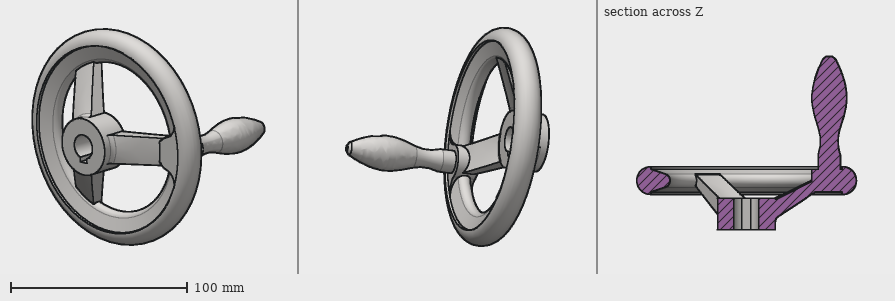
import cadquery as cq
import math


wheel_radius = 62.5
rim_tube_radius = 8.0
rim_tube_center = wheel_radius - rim_tube_radius
step_radius = 54.1
step_depth = 1.5
step_y = rim_tube_radius - step_depth
rim_inner_radius = 43.4
nose_radius = 4.0

hub_radius = 16.5
hub_front = -28.0
hub_length = 18.0
bore_radius = 7.0
key_width = 5
key_bottom = 9.2

spoke_count = 3
spoke_half_width_at_axis = 8.6
spoke_half_width_at_end = 8.0
spoke_end_radius = 45
spoke_front_root = -21.5
spoke_front_end = -2.8
spoke_back_root = -10.4
spoke_back_end = 3.8
spoke_fillet = 3.4

handle_x = 47.0
boss_radius = 10
boss_blend = 8.0
boss_side = 50.2

collar_radius = 6.5
collar_end = 14.2
neck_radius = 5.1
neck_end = 30.5
grip_radius = 10
grip_widest = 45.5
grip_end = 68.9
grip_end_radius = 3.8
grip_end_direction = (-0.5, 1)
tip_end = 70.5
tip_flat_radius = 1.8


def revolve_about_y(profile):
    return profile.close().revolve(360, (0, 0, 0), (0, 1, 0))


def along_hub(sketch):
    """Extrude a sketch drawn on the hub's front face over the hub's length."""
    return sketch.extrude(-hub_length)


def hub_face():
    return cq.Workplane("XZ", origin=(0, hub_front, 0))


def make_rim():
    nose_center = rim_inner_radius + nose_radius
    reach = step_radius - nose_center
    tangent_angle = math.atan2(step_y, reach) + math.acos(nose_radius / math.hypot(reach, step_y))
    tangent_radius = nose_center + nose_radius * math.cos(tangent_angle)
    tangent_y = nose_radius * math.sin(tangent_angle)
    return revolve_about_y(
        cq.Workplane("XY")
        .moveTo(rim_tube_center, -rim_tube_radius)
        .threePointArc((wheel_radius, 0), (rim_tube_center, rim_tube_radius))
        .lineTo(step_radius, step_y)
        .lineTo(tangent_radius, tangent_y)
        .threePointArc((rim_inner_radius, 0), (tangent_radius, -tangent_y))
        .lineTo(step_radius, -step_y)
    )


def make_hub():
    return along_hub(hub_face().circle(hub_radius))


def make_spoke_disc():
    """Full disc with the spoke's radial section, filleted where it meets the hub."""
    front_slope = math.atan2(spoke_front_end - spoke_front_root, spoke_end_radius - hub_radius)
    front_turn = math.pi / 2 - front_slope
    setback = spoke_fillet * math.tan(front_turn / 2)
    front_y = spoke_front_root - setback
    front_middle = (
        hub_radius + spoke_fillet * (1 - math.cos(front_turn / 2)),
        front_y + spoke_fillet * math.sin(front_turn / 2),
    )
    front_tangent = (
        hub_radius + setback * math.cos(front_slope),
        spoke_front_root + setback * math.sin(front_slope),
    )

    reach = spoke_end_radius - hub_radius
    rise = spoke_back_end - spoke_back_root - spoke_fillet
    back_slope = math.atan2(rise, reach) + math.asin(spoke_fillet / math.hypot(reach, rise))

    def back_arc_point(angle):
        return (
            hub_radius + spoke_fillet * math.sin(angle),
            spoke_back_root + spoke_fillet * (1 - math.cos(angle)),
        )

    return revolve_about_y(
        cq.Workplane("XY")
        .moveTo(0, front_y)
        .lineTo(hub_radius, front_y)
        .threePointArc(front_middle, front_tangent)
        .lineTo(spoke_end_radius, spoke_front_end)
        .lineTo(spoke_end_radius, spoke_back_end)
        .lineTo(*back_arc_point(back_slope))
        .threePointArc(back_arc_point(back_slope / 2), (hub_radius, spoke_back_root))
        .lineTo(0, spoke_back_root)
    )


def make_spokes():
    arm_depth = spoke_back_end - hub_front
    arm = (
        hub_face()
        .polyline([
            (0, -spoke_half_width_at_axis),
            (spoke_end_radius, -spoke_half_width_at_end),
            (spoke_end_radius, spoke_half_width_at_end),
            (0, spoke_half_width_at_axis),
        ])
        .close()
        .extrude(-arm_depth)
    )
    spoke = make_spoke_disc().intersect(arm)
    spokes = spoke
    for index in range(1, spoke_count):
        spokes = spokes.union(spoke.rotate((0, 0, 0), (0, 1, 0), index * 360 / spoke_count))
    return spokes


def make_boss():
    """Round boss, flush with the step feet, blended by concave arcs into the rim."""
    blend_x = boss_side - boss_blend
    blend_z = math.sqrt((boss_radius + boss_blend) ** 2 - (handle_x - blend_x) ** 2)
    side_end_z = math.sqrt(step_radius**2 - boss_side**2)
    turn = math.atan2(-blend_z, handle_x - blend_x)

    def blend_point(angle, side):
        x = blend_x + boss_blend * math.cos(angle)
        z = blend_z + boss_blend * math.sin(angle)
        return (x, side * z)

    return (
        cq.Workplane("XZ", origin=(0, -step_y, 0))
        .moveTo(boss_side, side_end_z)
        .lineTo(boss_side, blend_z)
        .threePointArc(blend_point(turn / 2, 1), blend_point(turn, 1))
        .threePointArc((handle_x - boss_radius, 0), blend_point(turn, -1))
        .threePointArc(blend_point(turn / 2, -1), (boss_side, -blend_z))
        .lineTo(boss_side, -side_end_z)
        .threePointArc((step_radius, 0), (boss_side, side_end_z))
        .close()
        .extrude(-2 * step_y)
    )


def make_handle():
    neck_half_length = (neck_end - collar_end) / 2
    neck_middle = collar_end + neck_half_length
    neck_angle = 2 * math.atan2(collar_radius - neck_radius, neck_half_length)
    grip_start_direction = (math.sin(neck_angle), math.cos(neck_angle))
    handle = revolve_about_y(
        cq.Workplane("XY")
        .lineTo(collar_radius, 0)
        .lineTo(collar_radius, collar_end)
        .threePointArc((neck_radius, neck_middle), (collar_radius, neck_end))
        .spline(
            [(grip_radius, grip_widest), (grip_end_radius, grip_end)],
            tangents=[grip_start_direction, grip_end_direction],
            includeCurrent=True,
        )
        .lineTo(tip_flat_radius, tip_end)
        .lineTo(0, tip_end)
    )
    return handle.translate((handle_x, 0, 0))


def make_keyed_bore():
    bore = along_hub(hub_face().circle(bore_radius))
    keyway = along_hub(hub_face().center(0, -key_bottom / 2).rect(key_width, key_bottom))
    return bore.union(keyway)


wheel = make_rim().union(make_hub()).union(make_spokes()).union(make_boss())
result = wheel.union(make_handle()).cut(make_keyed_bore())